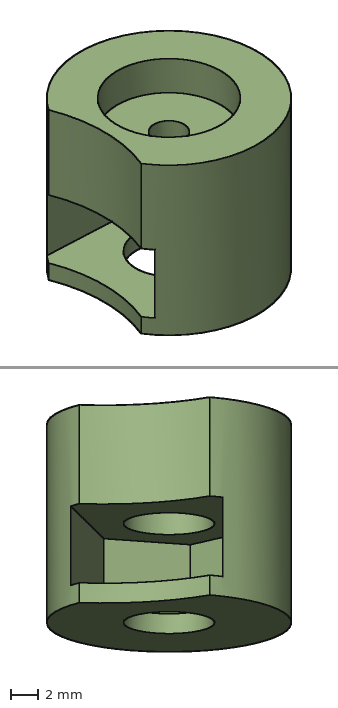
import cadquery as cq
import math

body_diameter = 18.0
body_height = 15.0

scallop_radius = 13.42
scallop_axis_distance = 20.0

nut_width = 11.5
slot_floor = 1.5
slot_height = 6.0

recess_diameter = 10.5
recess_depth = 3.0
bore_diameter = 3.0
access_hole_diameter = 6.7
bore_length = 1.5


def axial_cylinder(diameter, bottom, top):
    """Cylinder on the body axis between two heights."""
    return cq.Workplane("XY").workplane(offset=bottom).circle(diameter / 2).extrude(top - bottom)


def scallop_cutter():
    """Large vertical cylinder that hollows the -Y side of the body."""
    return cq.Workplane("XY").center(0, -scallop_axis_distance).circle(scallop_radius).extrude(body_height)


def nut_slot_cutter():
    """Slot open toward -Y, ending in two hexagon faces that meet at +Y."""
    half_width = nut_width / 2
    corner_radius = nut_width / math.sqrt(3)
    shoulder_y = corner_radius / 2
    open_end_y = -body_diameter / 2
    outline = [
        (-half_width, open_end_y),
        (half_width, open_end_y),
        (half_width, shoulder_y),
        (0, corner_radius),
        (-half_width, shoulder_y),
    ]
    return cq.Workplane("XY").workplane(offset=slot_floor).polyline(outline).close().extrude(slot_height)


recess_floor = body_height - recess_depth
access_hole_top = recess_floor - bore_length

body = axial_cylinder(body_diameter, 0, body_height)
body = body.cut(scallop_cutter())
body = body.cut(nut_slot_cutter())
body = body.cut(axial_cylinder(recess_diameter, recess_floor, body_height))
body = body.cut(axial_cylinder(bore_diameter, access_hole_top, recess_floor))
body = body.cut(axial_cylinder(access_hole_diameter, 0, access_hole_top))

result = body